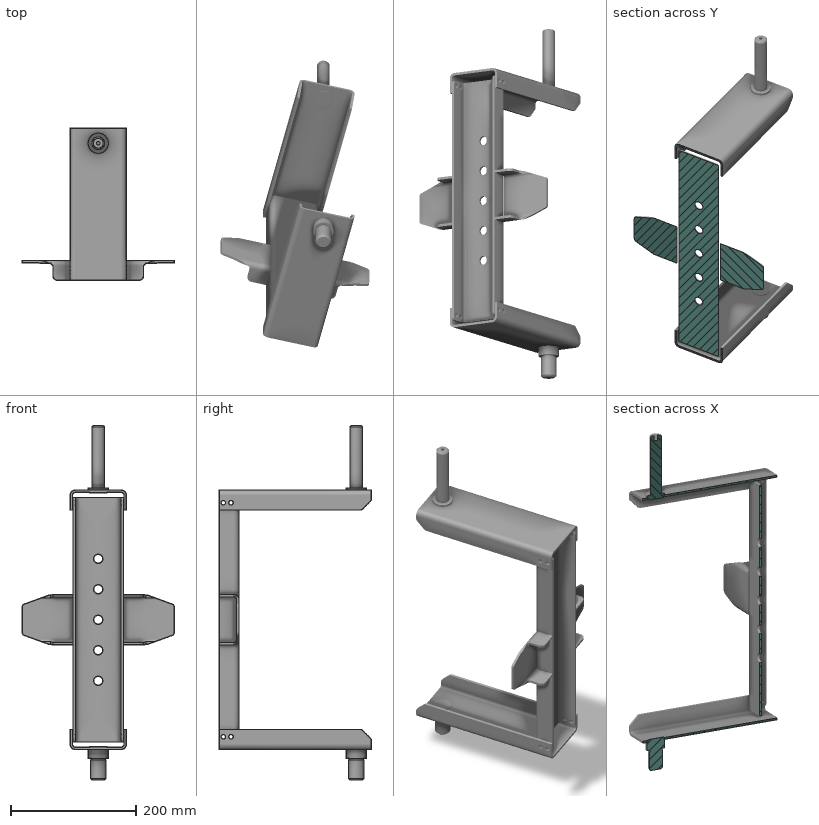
import cadquery as cq

sheet = 4.0
bend_radius = 8.5
fold_depth = 32.5

arm_width = 90.0
arm_length = 243.5
arm_span = 415.0
arm_corner_cut = 16.0
arm_corner_round = 5.5

column_clearance = 0.5
column_width = arm_width - 2 * (sheet + column_clearance)
column_height = 391.0
column_flange_round = 4.5
column_hole_diameter = 14.0
column_hole_pitch = 49.0
column_hole_count = 5

rivet_hole_diameter = 7.0
rivet_hole_y = (7.0, 19.0)
rivet_hole_drop = 20.5

wing_tip_x = 122.0
wing_height = 80.5
wing_tip_half_height = 24.0
wing_shoulder_x = 76.5
wing_tip_round = 5.5
wing_flange_x = 72.5
wing_flange_round = 8.0
wing_runout = 3.5

pin_y = 219.5
collar_diameter = 32.5
spigot_diameter = 28.5
spigot_projection = 1.0
spigot_length = sheet + spigot_projection
top_collar_height = 3.5
top_shaft_diameter = 20.5
top_pin_end = 310.5
top_shaft_chamfer = 2.0
center_hole_diameter = 5.5
center_hole_depth = 8.5
bottom_collar_height = 14.0
bottom_shaft_diameter = 25.0
bottom_pin_end = 256.0
bottom_shaft_chamfer = 3.0
undercut_diameter = 22.5
undercut_length = 2.0

arm_face_z = arm_span / 2
rivet_hole_z = arm_face_z - rivet_hole_drop


def folded_channel(width, depth, length):
    """U channel along +Z: web outer face on y = depth, flanges reaching y = 0."""
    outer = (
        cq.Workplane("XY")
        .box(width, depth, length, centered=(True, False, False))
        .edges("|Z and >Y")
        .fillet(bend_radius)
    )
    inner = (
        cq.Workplane("XY")
        .box(width - 2 * sheet, depth - sheet, length, centered=(True, False, False))
        .edges("|Z and >Y")
        .fillet(bend_radius - sheet)
    )
    return outer.cut(inner)


def rivet_holes():
    """Cross drillings along X where the column is joined to both arms."""
    points = [(y, side * rivet_hole_z) for y in rivet_hole_y for side in (-1, 1)]
    return (
        cq.Workplane("YZ")
        .pushPoints(points)
        .circle(rivet_hole_diameter / 2)
        .extrude(arm_width, both=True)
    )


def make_column():
    column = folded_channel(column_width, fold_depth, column_height)
    column = column.translate((0, 0, -column_height / 2))
    column = column.edges("|X and <Y").edges(">Z or <Z").fillet(column_flange_round)
    first_hole_z = -column_hole_pitch * (column_hole_count - 1) / 2
    web_holes = (
        cq.Workplane("XZ")
        .pushPoints([(0, first_hole_z + i * column_hole_pitch) for i in range(column_hole_count)])
        .circle(column_hole_diameter / 2)
        .extrude(-fold_depth)
    )
    return column.cut(web_holes).cut(rivet_holes())


def make_top_arm():
    arm = folded_channel(arm_width, fold_depth, arm_length)
    arm = arm.rotate((0, 0, 0), (1, 0, 0), 90)
    arm = arm.translate((0, arm_length, arm_face_z - fold_depth))
    arm = arm.edges("|X and >Y and <Z").chamfer(arm_corner_cut)
    bevel_ends = cq.selectors.BoxSelector(
        (-arm_width, arm_length - arm_corner_cut - sheet, arm_face_z - fold_depth - sheet),
        (arm_width, arm_length + sheet, arm_face_z - bend_radius),
    )
    arm = arm.edges(bevel_ends).edges("|X").fillet(arm_corner_round)
    spigot_hole = (
        cq.Workplane("XY", origin=(0, pin_y, arm_face_z))
        .circle(spigot_diameter / 2)
        .extrude(-fold_depth)
    )
    return arm.cut(spigot_hole).cut(rivet_holes())


def make_right_wing():
    inner_x = column_width / 2
    half_height = wing_height / 2
    length = wing_tip_x - inner_x
    channel = folded_channel(wing_height, fold_depth, length)
    channel = channel.rotate((0, 0, 0), (0, 1, 0), 90).translate((inner_x, 0, 0))
    front_outline = (
        cq.Workplane("XZ")
        .polyline([
            (inner_x, half_height),
            (wing_shoulder_x, half_height),
            (wing_tip_x, wing_tip_half_height),
            (wing_tip_x, -wing_tip_half_height),
            (wing_shoulder_x, -half_height),
            (inner_x, -half_height),
        ])
        .close()
        .extrude(-fold_depth)
        .edges("|Y and >X")
        .fillet(wing_tip_round)
    )
    flange_end_y = fold_depth - bend_radius
    runout_y = flange_end_y + wing_runout
    plan_outline = (
        cq.Workplane("XY", origin=(0, 0, -half_height))
        .moveTo(inner_x, 0)
        .lineTo(wing_flange_x - wing_flange_round, 0)
        .radiusArc((wing_flange_x, wing_flange_round), -wing_flange_round)
        .lineTo(wing_flange_x, flange_end_y)
        .lineTo(wing_flange_x + wing_runout, runout_y)
        .lineTo(wing_tip_x, runout_y)
        .lineTo(wing_tip_x, fold_depth)
        .lineTo(inner_x, fold_depth)
        .close()
        .extrude(wing_height)
    )
    return channel.intersect(front_outline).intersect(plan_outline)


def cylinder_up(diameter, bottom, top):
    """Vertical cylinder on the pin axis."""
    return cq.Workplane("XY", origin=(0, pin_y, bottom)).circle(diameter / 2).extrude(top - bottom)


def make_top_pin():
    collar_top = arm_face_z + top_collar_height
    shaft = cylinder_up(top_shaft_diameter, collar_top, top_pin_end)
    shaft = shaft.faces(">Z").chamfer(top_shaft_chamfer)
    pin = cylinder_up(spigot_diameter, arm_face_z - spigot_length, arm_face_z)
    pin = pin.union(cylinder_up(collar_diameter, arm_face_z, collar_top)).union(shaft)
    return pin.cut(cylinder_up(center_hole_diameter, top_pin_end - center_hole_depth, top_pin_end))


def make_bottom_pin():
    collar_bottom = -arm_face_z - bottom_collar_height
    shaft_top = collar_bottom - undercut_length
    shaft = cylinder_up(bottom_shaft_diameter, -bottom_pin_end, shaft_top)
    shaft = shaft.faces("<Z").chamfer(bottom_shaft_chamfer)
    pin = cylinder_up(spigot_diameter, -arm_face_z, -arm_face_z + spigot_length)
    pin = pin.union(cylinder_up(collar_diameter, collar_bottom, -arm_face_z))
    return pin.union(cylinder_up(undercut_diameter, shaft_top, collar_bottom)).union(shaft)


column = make_column()
top_arm = make_top_arm()
bottom_arm = top_arm.mirror("XY")
right_wing = make_right_wing()
left_wing = right_wing.mirror("YZ")
top_pin = make_top_pin()
bottom_pin = make_bottom_pin()

result = cq.Compound.makeCompound([
    column.val(),
    top_arm.val(),
    bottom_arm.val(),
    right_wing.val(),
    left_wing.val(),
    top_pin.val(),
    bottom_pin.val(),
])